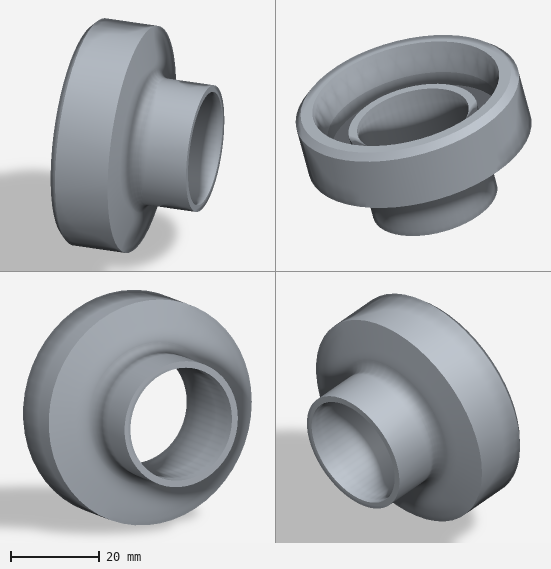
import cadquery as cq
import math

total_length = 29.0
flange_radius = 52 / 2
flange_chamfer = 1.5
flange_edge_x = 14.0
sleeve_radius = 29.0 / 2
bore_radius = 26 / 2

back_cone_angle = math.radians(10)
blend_radius = 2.4

socket_mouth_radius = 43.5 / 2
socket_inner_radius = 39.8 / 2
lip_radius = 30.0 / 2
socket_taper_depth = 7.0
lip_face_x = socket_taper_depth
groove_floor_x = 10.45

cone_end_radius = sleeve_radius + blend_radius * (1 - math.sin(back_cone_angle))
cone_end_x = flange_edge_x + (flange_radius - cone_end_radius) * math.tan(back_cone_angle)
blend_center_x = cone_end_x + blend_radius * math.cos(back_cone_angle)
blend_center_radius = sleeve_radius + blend_radius
blend_mid_angle = (math.pi / 2 + back_cone_angle) / 2
blend_middle = (
    blend_center_x - blend_radius * math.cos(blend_mid_angle),
    blend_center_radius - blend_radius * math.sin(blend_mid_angle),
)

section = (
    cq.Workplane("XY")
    .moveTo(0, socket_mouth_radius)
    .lineTo(0, flange_radius - flange_chamfer)
    .lineTo(flange_chamfer, flange_radius)
    .lineTo(flange_edge_x, flange_radius)
    .lineTo(cone_end_x, cone_end_radius)
    .threePointArc(blend_middle, (blend_center_x, sleeve_radius))
    .lineTo(total_length, sleeve_radius)
    .lineTo(total_length, bore_radius)
    .lineTo(lip_face_x, bore_radius)
    .lineTo(lip_face_x, lip_radius)
    .lineTo(groove_floor_x, lip_radius)
    .lineTo(groove_floor_x, socket_inner_radius)
    .lineTo(socket_taper_depth, socket_inner_radius)
    .close()
)

result = section.revolve(360, (0, 0, 0), (1, 0, 0))